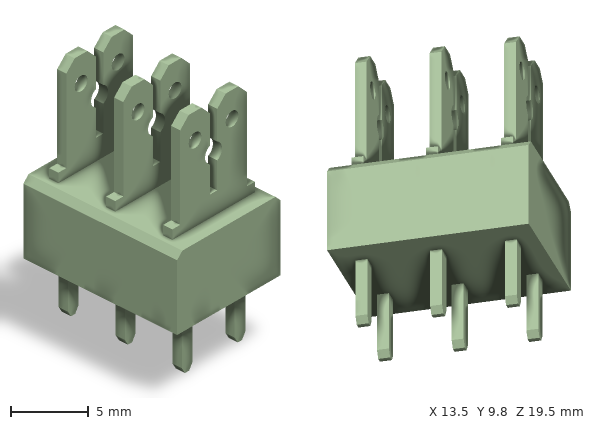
import cadquery as cq

housing_length = 13.5
housing_width = 9.8
housing_height = 6.2
housing_chamfer = 0.5

pole_count = 3
pole_pitch = 5.0
metal_thickness = 0.8

tab_width = 2.8
tab_corner = 0.8
slot_width = 0.7
slot_depth = 7.0
blade_height = 8.8
foot_width = 7.8
foot_height = 0.8
tab_hole_diameter = 1.2
tab_hole_depth = 2.2
keyhole_diameter = 1.6
keyhole_depth = 4.0

pin_width = 1.0
pin_length = 4.5
pin_spacing = 5.0
pin_tip_height = 0.5
pin_tip_inset = 0.3

blade_width = 2 * tab_width + slot_width
blade_top = housing_height + blade_height
web_height = blade_height - slot_depth
tab_spacing = tab_width + slot_width
tab_positions = [-tab_spacing / 2, tab_spacing / 2]
pole_positions = [(i - (pole_count - 1) / 2) * pole_pitch for i in range(pole_count)]
pin_row_positions = [-pin_spacing / 2, pin_spacing / 2]


def make_housing():
    """Block with its two long top edges chamfered."""
    block = cq.Workplane("XY").box(
        housing_length, housing_width, housing_height, centered=(True, True, False)
    )
    return block.faces(">Z").edges("|X").chamfer(housing_chamfer)


def sheet_plane(x, y, z):
    """YZ plane on the low-X face of the sheet metal centred at x."""
    return cq.Workplane("YZ", origin=(x - metal_thickness / 2, y, z))


def make_strip(x, y, width, height):
    """Rectangular piece of sheet metal standing on the housing top."""
    plane = sheet_plane(x, y, housing_height + height / 2)
    return plane.rect(width, height).extrude(metal_thickness)


def make_hole(x, y, depth, diameter):
    """Cutter for a round hole through the sheet metal."""
    plane = sheet_plane(x, y, blade_top - depth)
    return plane.circle(diameter / 2).extrude(metal_thickness)


def make_tab(x, y):
    """Flat tab with cut top corners and a cross hole."""
    tab = make_strip(x, y, tab_width, blade_height)
    tab = tab.faces(">Z").edges("|X").chamfer(tab_corner)
    return tab.cut(make_hole(x, y, tab_hole_depth, tab_hole_diameter))


def make_blade(x):
    """Twin-tab blade: two tabs joined below a keyhole slot, on a wider foot."""
    blade = make_strip(x, 0, foot_width, foot_height)
    blade = blade.union(make_strip(x, 0, blade_width, web_height))
    for y in tab_positions:
        blade = blade.union(make_tab(x, y))
    return blade.cut(make_hole(x, 0, keyhole_depth, keyhole_diameter)).clean()


def make_pin(x, y):
    """Solder pin below the housing, its tip tapered in Y."""
    half_width = pin_width / 2
    half_tip = half_width - pin_tip_inset
    taper_start = pin_tip_height - pin_length
    outline = [
        (-half_width, 0),
        (-half_width, taper_start),
        (-half_tip, -pin_length),
        (half_tip, -pin_length),
        (half_width, taper_start),
        (half_width, 0),
    ]
    return sheet_plane(x, y, 0).polyline(outline).close().extrude(metal_thickness)


housing = make_housing()
blades = [make_blade(x) for x in pole_positions]
pins = [make_pin(x, y) for x in pole_positions for y in pin_row_positions]

result = cq.Compound.makeCompound(
    [
        housing.solids().val(),
        *[blade.solids().val() for blade in blades],
        *[pin.val() for pin in pins],
    ]
)